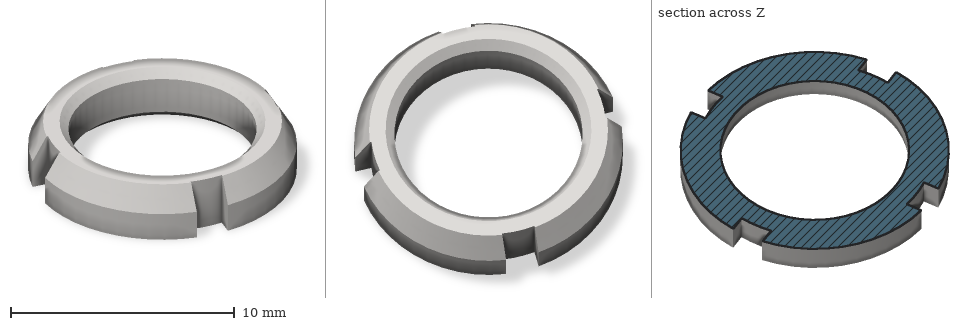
import cadquery as cq
import math

width_across_slots = 11.91
height = 2.5
slot_width = 1.5
slot_count = 4
slot_floor_radius = 5.26
top_face_radius = 5.34
cone_angle = 30.0
bore_radius = 4.2
bore_chamfer = 0.39

outer_radius = math.hypot(width_across_slots / 2, slot_width / 2)
bevel_width = outer_radius - top_face_radius
bevel_height = bevel_width / math.tan(math.radians(cone_angle))
chamfer_radius = bore_radius + bore_chamfer


def make_ring():
    """Revolved ring with a conical outer bevel and a bore chamfered at both ends."""
    profile = [
        (chamfer_radius, 0),
        (outer_radius, 0),
        (outer_radius, height - bevel_height),
        (top_face_radius, height),
        (chamfer_radius, height),
        (bore_radius, height - bore_chamfer),
        (bore_radius, bore_chamfer),
    ]
    return cq.Workplane("XZ").polyline(profile).close().revolve(360, (0, 0), (0, 1))


def make_slot(angle):
    """Cutter for one spanner slot, with a floor concentric with the ring."""
    bar = cq.Workplane("XY").box(width_across_slots, slot_width, height, centered=(False, True, False))
    core = cq.Workplane("XY").circle(slot_floor_radius).extrude(height)
    return bar.cut(core).rotate((0, 0, 0), (0, 0, 1), angle)


result = make_ring()
for index in range(slot_count):
    result = result.cut(make_slot(index * 360 / slot_count))